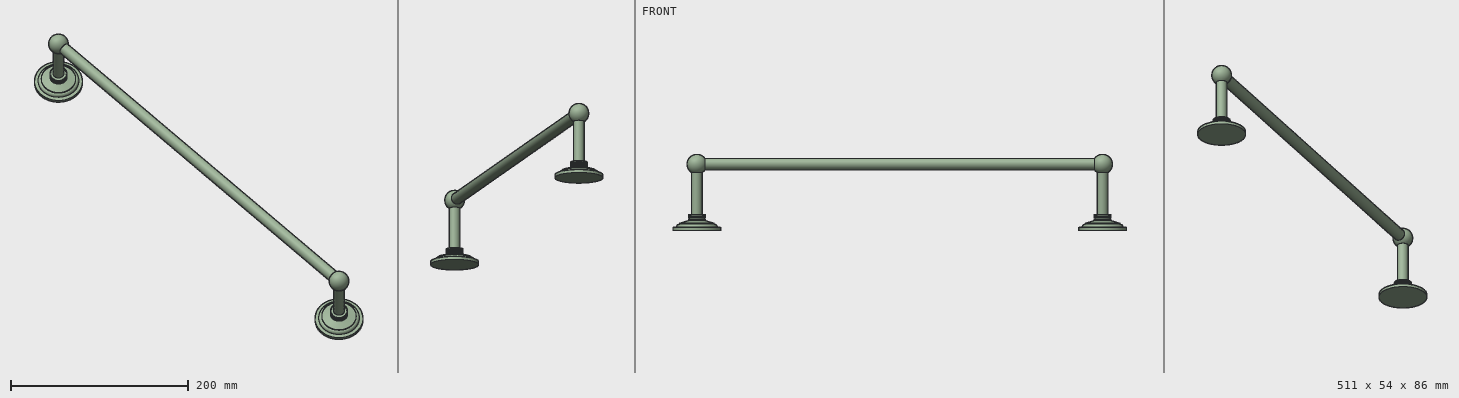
import cadquery as cq
import math

total_length = 511.0
base_radius = 27.0
total_height = 86.0
ball_radius = 11.0
bar_radius = 6.5
post_radius = 6.0

rim_height = 3.5
dome_foot_radius = 23.0
dome_foot_height = 4.0
dome_step_radius = 19.5
dome_step_height = 7.0
dome_lip = 1.0
dome_top_height = 11.0

collar_radius = 9.5
collar_top = 18.0
ring_count = 3
groove_depth = 1.0

post_offset = total_length / 2 - base_radius
ball_height = total_height - ball_radius
ball_face_offset = math.sqrt(ball_radius**2 - bar_radius**2)
dome_shoulder = (
    dome_step_radius + (dome_foot_radius - dome_step_radius) * math.cos(math.pi / 4),
    dome_foot_height + (dome_step_height - dome_foot_height) * math.sin(math.pi / 4),
)
ring_height = (collar_top - dome_top_height) / (2 * ring_count - 1)
groove_radius = collar_radius - groove_depth


def make_stem():
    """Turned base, grooved collar and round stem, reaching the middle of the ball."""
    profile = (
        cq.Workplane("XZ")
        .moveTo(0, 0)
        .lineTo(base_radius, 0)
        .lineTo(base_radius, rim_height)
        .lineTo(dome_foot_radius, dome_foot_height)
        .threePointArc(dome_shoulder, (dome_step_radius, dome_step_height))
        .lineTo(dome_step_radius, dome_step_height + dome_lip)
        .lineTo(collar_radius, dome_top_height)
    )
    for groove in range(ring_count - 1):
        bottom = dome_top_height + (2 * groove + 1) * ring_height
        top = bottom + ring_height
        profile = (
            profile.lineTo(collar_radius, bottom)
            .lineTo(groove_radius, bottom)
            .lineTo(groove_radius, top)
            .lineTo(collar_radius, top)
        )
    return (
        profile.lineTo(collar_radius, collar_top)
        .lineTo(post_radius, collar_top)
        .lineTo(post_radius, ball_height)
        .lineTo(0, ball_height)
        .close()
        .revolve(360, (0, 0, 0), (0, 1, 0))
    )


def make_ball():
    """Ball with a flat face on its +X side, just as wide as the bar."""
    return (
        cq.Workplane("XZ")
        .moveTo(-ball_radius, 0)
        .threePointArc((0, ball_radius), (ball_face_offset, bar_radius))
        .lineTo(ball_face_offset, 0)
        .close()
        .revolve(360, (0, 0, 0), (1, 0, 0))
        .translate((0, 0, ball_height))
    )


def make_post(side):
    """One complete post; side is -1 for the -X end of the bar and +1 for the +X end."""
    post = make_stem().union(make_ball())
    if side > 0:
        post = post.mirror("YZ")
    return post.translate((side * post_offset, 0, 0))


def make_bar():
    """Round bar held between the flat faces of the two balls."""
    end = post_offset - ball_face_offset
    return (
        cq.Workplane("YZ", origin=(-end, 0, ball_height))
        .circle(bar_radius)
        .extrude(2 * end)
    )


posts = [make_post(side) for side in (-1, 1)]
bar = make_bar()

result = cq.Compound.makeCompound([*[post.val() for post in posts], bar.val()])